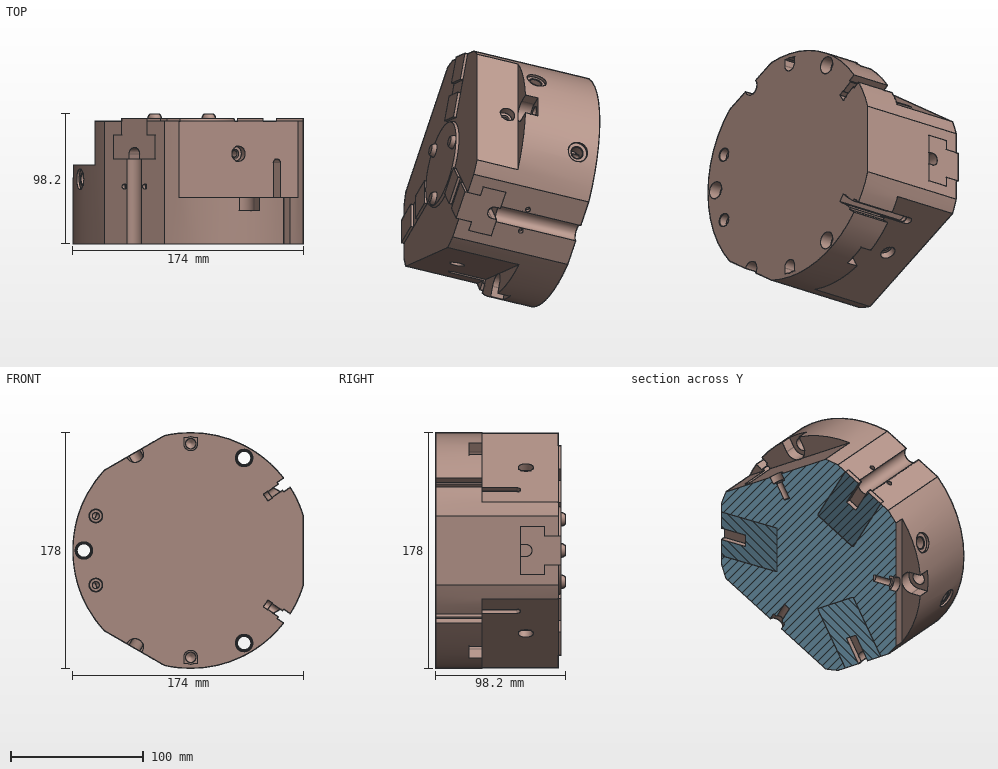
import cadquery as cq
import math


body_radius = 89.0
body_height = 92.7
jaw_angles = [0, 120, 240]
jaw_flat_distance = 85.0
screw_angles = [60, 180, 300]
screw_flat_distance = 72.2
short_flat_bottom = 59.8
long_flat_bottom = 35.2
flat_bottoms = {60: long_flat_bottom, 180: short_flat_bottom, 300: long_flat_bottom}
cut_reach = 106.8

jaw_top = 94.8
jaw_inner_radius = 35.2
jaw_stem_width = 22.0
jaw_head_width = 36.3
jaw_head_bottom = 64.2
jaw_head_top = 82.4
cross_slot_start = 54.6
cross_slot_width = 10.0
port_level = 68.1
jaw_notch_width = 9.3
jaw_notch_depth = 21.4

disc_base_radius = 33.5
disc_top_radius = 32.5
button_circle = 27.2
button_sphere_radius = 5.3
button_sphere_level = 94.1
total_height = 98.2

mount_circle = 80.6
mount_recess_diameter = 13.2
mount_recess_depth = 10.7
mount_countersink_diameter = 11.7
mount_hole_diameter = 10.1
mount_bore_diameter = 17.5
mount_bore_depth = 10.0

side_bore_diameter = 11.4
side_bore_depth = 5.7
side_mouth_diameter = 6.8
side_hole_diameter = 5.0
side_hole_depth = 14.2

port_heights = {160: 49.0, 200: 15.7}
port_spot_diameter = 15.3
port_spot_floor = 86.8
port_mouth_diameter = 9.8
port_bore_diameter = 8.9
port_circle = 76.2
axial_mouth_diameter = 10.3
axial_recess_diameter = 9.6
axial_recess_depth = 7.1
axial_bore_diameter = 5.3

groove_angles = [120, 240]
groove_circle = 84.2
groove_radius = 6.4
pin_hole_diameter = 3.5
pin_hole_spacing = 17.8
pin_hole_level = 43.5
pin_hole_depth = 4.5

sensor_angles = [35.2, -35.2]
sensor_level = 61.4
sensor_steps = [(69.2, 73.1, 6.2), (73.1, 83.0, 5.5), (83.0, cut_reach, 8.5)]

pocket_angles = [90, 270]
pocket_circle = 80.6
pocket_width = 10.5
pocket_outer_edge = 85.4
pocket_depth = 17.8
pocket_hole_diameter = 7.8
pocket_hole_depth = 8.9

drill_tip_angle = 118.0


def turned(shape, angle):
    """Turn a shape about Y by the angle in degrees, from +X towards +Z."""
    return shape.rotate((0, 0, 0), (0, -1, 0), angle)


def radial_box(inner, outer, width, bottom, top):
    """Box along +X between two distances from the axis."""
    return cq.Workplane("XY").box(outer - inner, top - bottom, width).translate(
        ((inner + outer) / 2, (bottom + top) / 2, 0)
    )


def radial_rod(inner, outer, diameter, level, offset=0):
    """Cylinder lying along +X at the given height, moved sideways by the offset."""
    return cq.Workplane("YZ", origin=(inner, level, offset)).circle(diameter / 2).extrude(outer - inner)


def axial_rod(radius_from_axis, diameter, bottom, top):
    """Cylinder parallel to Y, centred on +X."""
    return (
        cq.Workplane("XZ", origin=(radius_from_axis, bottom, 0)).circle(diameter / 2).extrude(bottom - top)
    )


def axial_cone(radius_from_axis, base_radius, tip_radius, bottom, height):
    """Cone parallel to Y that runs from base_radius at the bottom to tip_radius."""
    cone = cq.Solid.makeCone(
        base_radius, tip_radius, height, pnt=cq.Vector(radius_from_axis, bottom, 0), dir=cq.Vector(0, 1, 0)
    )
    return cq.Workplane(obj=cone)


def drilled_hole(radius_from_axis, diameter, bottom, top):
    """Cylinder parallel to Y with a drill point beyond its top."""
    tip_height = diameter / 2 / math.tan(math.radians(drill_tip_angle / 2))
    tip = axial_cone(radius_from_axis, diameter / 2, 0, top, tip_height)
    return axial_rod(radius_from_axis, diameter, bottom, top).union(tip)


def radial_countersink(outer, mouth_radius, level):
    """90-degree cone that opens outwards along +X and has its mouth at the outer distance."""
    cone = cq.Solid.makeCone(
        mouth_radius, 0, mouth_radius, pnt=cq.Vector(outer, level, 0), dir=cq.Vector(-1, 0, 0)
    )
    return cq.Workplane(obj=cone)


def round_top_slot(inner, outer, width, bottom, level):
    """Radial slot with straight sides up to the level and a half-round top."""
    return radial_box(inner, outer, width, bottom, level).union(radial_rod(inner, outer, width, level))


def jaw_profile(outer):
    """T-shaped jaw that lies along +X and ends at the outer distance."""
    head = radial_box(jaw_inner_radius, outer, jaw_head_width, jaw_head_bottom, jaw_head_top)
    stem = radial_box(jaw_inner_radius, outer, jaw_stem_width, jaw_head_top, jaw_top)
    return head.union(stem)


def make_jaw():
    cross_slot = radial_box(
        cross_slot_start, cross_slot_start + cross_slot_width, jaw_head_width, body_height, total_height
    )
    notch = round_top_slot(
        jaw_flat_distance - jaw_notch_depth, cut_reach, jaw_notch_width, jaw_head_bottom, port_level
    )
    return jaw_profile(jaw_flat_distance).cut(cross_slot).cut(notch)


def domed_button():
    """Ball end with a flat tip that rises from the centre disc."""
    ball = cq.Workplane("XY").sphere(button_sphere_radius).translate(
        (button_circle, button_sphere_level, 0)
    )
    return ball.intersect(axial_rod(button_circle, 2 * button_sphere_radius, jaw_top, total_height))


def housing_blank():
    """Cylinder with all six flats, the centre disc and its buttons."""
    blank = axial_rod(0, 2 * body_radius, 0, body_height)
    for angle in jaw_angles:
        flat = radial_box(jaw_flat_distance, cut_reach, 2 * cut_reach, 0, body_height)
        blank = blank.cut(turned(flat, angle))
    for angle, bottom in flat_bottoms.items():
        flat = radial_box(screw_flat_distance, cut_reach, 2 * cut_reach, bottom, body_height)
        blank = blank.cut(turned(flat, angle))
    disc = axial_cone(0, disc_base_radius, disc_top_radius, body_height, jaw_top - body_height)
    blank = blank.union(disc)
    for angle in screw_angles:
        blank = blank.union(turned(domed_button(), angle))
    return blank


def mounting_hole(flat_bottom):
    """Through hole with a countersunk recess in the mounting face and a side-open bore in the shelf."""
    hole = axial_rod(mount_circle, mount_hole_diameter, 0, body_height)
    countersink_radius = mount_countersink_diameter / 2
    recess = axial_rod(mount_circle, mount_recess_diameter, 0, mount_recess_depth)
    countersink = axial_cone(mount_circle, countersink_radius, 0, mount_recess_depth, countersink_radius)
    bore_floor = flat_bottom - mount_bore_depth
    bore = axial_rod(mount_circle, mount_bore_diameter, bore_floor, flat_bottom)
    opening = radial_box(mount_circle, cut_reach, mount_bore_diameter, bore_floor, flat_bottom)
    return hole.union(recess).union(countersink).union(bore).union(opening)


def side_screw_hole():
    bore_floor = screw_flat_distance - side_bore_depth
    bore = radial_rod(bore_floor, cut_reach, side_bore_diameter, port_level)
    hole = radial_rod(bore_floor - side_hole_depth, bore_floor, side_hole_diameter, port_level)
    mouth = radial_countersink(bore_floor, side_mouth_diameter / 2, port_level)
    return bore.union(hole).union(mouth)


def air_port(height):
    """Spot-faced radial bore, joined by an axial bore from the mounting face."""
    spot = radial_rod(port_spot_floor, cut_reach, port_spot_diameter, height)
    radial_bore = radial_rod(port_circle, port_spot_floor, port_bore_diameter, height)
    mouth = radial_countersink(port_spot_floor, port_mouth_diameter / 2, height)
    recess = axial_rod(port_circle, axial_recess_diameter, 0, axial_recess_depth)
    chamfer = axial_cone(port_circle, axial_mouth_diameter / 2, 0, 0, axial_mouth_diameter / 2)
    axial_bore = drilled_hole(port_circle, axial_bore_diameter, 0, height)
    return spot.union(radial_bore).union(mouth).union(recess).union(chamfer).union(axial_bore)


def jaw_groove():
    """Round groove below a jaw, with a small pin hole on each side."""
    groove = axial_rod(groove_circle, 2 * groove_radius, 0, jaw_head_bottom)
    for side in (-1, 1):
        pin_hole = radial_rod(
            jaw_flat_distance - pin_hole_depth,
            cut_reach,
            pin_hole_diameter,
            pin_hole_level,
            side * pin_hole_spacing / 2,
        )
        groove = groove.union(pin_hole)
    return groove


def sensor_slot():
    slot = cq.Workplane("XY")
    for inner, outer, width in sensor_steps:
        slot = slot.add(round_top_slot(inner, outer, width, 0, sensor_level))
    return slot.combine()


def face_pocket():
    """Pocket with a round inner end and a square outer end, drilled in its floor."""
    pocket = axial_rod(pocket_circle, pocket_width, 0, pocket_depth)
    pocket = pocket.union(radial_box(pocket_circle, pocket_outer_edge, pocket_width, 0, pocket_depth))
    hole = drilled_hole(pocket_circle, pocket_hole_diameter, pocket_depth, pocket_depth + pocket_hole_depth)
    return pocket.union(hole)


def make_housing():
    housing = housing_blank()
    for angle in jaw_angles:
        housing = housing.cut(turned(jaw_profile(cut_reach), angle))
    for angle, bottom in flat_bottoms.items():
        housing = housing.cut(turned(mounting_hole(bottom), angle))
        housing = housing.cut(turned(side_screw_hole(), angle))
    for angle, height in port_heights.items():
        housing = housing.cut(turned(air_port(height), angle))
    for angle in groove_angles:
        housing = housing.cut(turned(jaw_groove(), angle))
    for angle in sensor_angles:
        housing = housing.cut(turned(sensor_slot(), angle))
    for angle in pocket_angles:
        housing = housing.cut(turned(face_pocket(), angle))
    return housing


housing = make_housing()
jaws = [turned(make_jaw(), angle) for angle in jaw_angles]

result = cq.Compound.makeCompound([housing.val(), *[jaw.val() for jaw in jaws]])